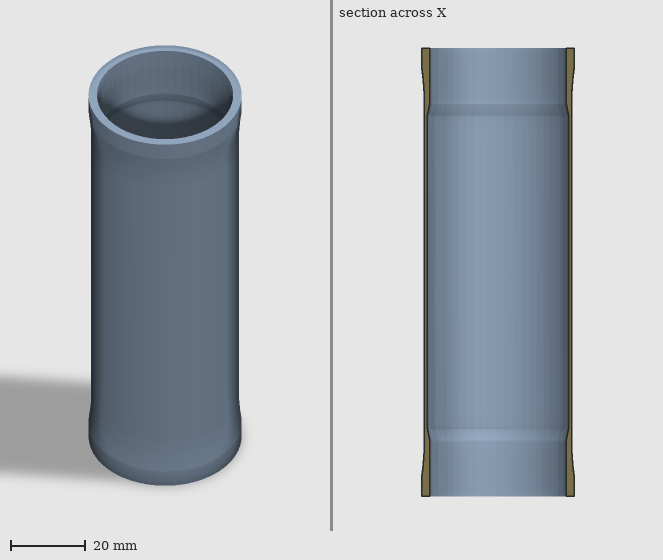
import cadquery as cq
import math

length = 120.0
collar_radius = 20.5
tube_radius = 19.8
end_bore_radius = 18.2
tube_bore_radius = 18.8
collar_height = 5.0
flare_height = 10.0
bore_taper_height = 3.0

end_z = length / 2
collar_z = end_z - collar_height
flare_z = collar_z - flare_height
bore_taper_z = flare_z - bore_taper_height

flare_step = collar_radius - tube_radius
flare_arc_radius = (flare_height**2 + flare_step**2) / (2 * flare_step)
half_flare_angle = math.asin(flare_height / flare_arc_radius) / 2
flare_mid_radius = tube_radius + flare_arc_radius * (1 - math.cos(half_flare_angle))
flare_mid_z = flare_z + flare_arc_radius * math.sin(half_flare_angle)


def sleeve():
    """Plain tube with a collar at each end, each reached by a flare tangent to the tube."""
    profile = (
        cq.Workplane("XZ")
        .moveTo(tube_radius, -flare_z)
        .lineTo(tube_radius, flare_z)
        .threePointArc((flare_mid_radius, flare_mid_z), (collar_radius, collar_z))
        .lineTo(collar_radius, end_z)
        .lineTo(end_bore_radius, end_z)
        .lineTo(end_bore_radius, flare_z)
        .lineTo(tube_bore_radius, bore_taper_z)
        .lineTo(tube_bore_radius, -bore_taper_z)
        .lineTo(end_bore_radius, -flare_z)
        .lineTo(end_bore_radius, -end_z)
        .lineTo(collar_radius, -end_z)
        .lineTo(collar_radius, -collar_z)
        .threePointArc((flare_mid_radius, -flare_mid_z), (tube_radius, -flare_z))
        .close()
    )
    return profile.revolve(360, (0, 0, 0), (0, 1, 0))


result = sleeve()